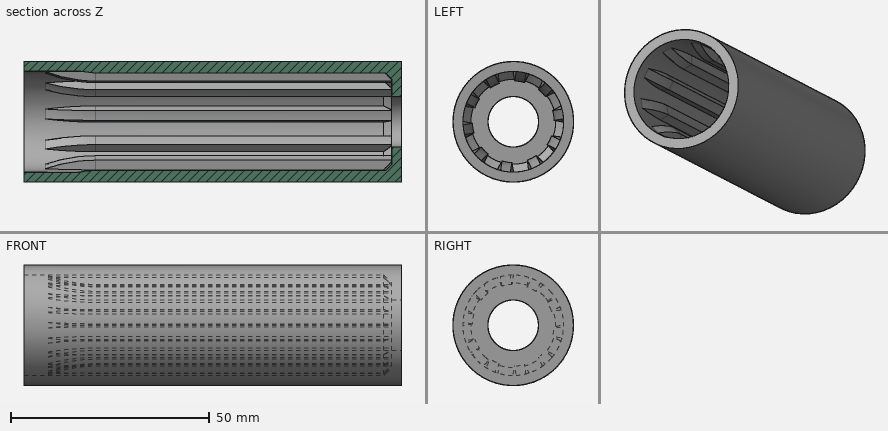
import cadquery as cq
import math

LENGTH = 95.26
OUTER_DIAMETER = 30.48
THROUGH_DIAMETER = 12.7

SOCKET_DIAMETER = 25.4
END_WALL = (OUTER_DIAMETER - SOCKET_DIAMETER) / 2
SOCKET_DEPTH = LENGTH - END_WALL
FLOOR_BEVEL = 2.0

RIB_COUNT = 10
FIRST_RIB_ANGLE = 9.0
RIB_START = 5.4
LEAD_IN_LENGTH = 12.7
RIB_CREST_RADIUS = 10.3
RIB_TOP_WIDTH = 2.54
RIB_FLANK_ANGLE = 20.0
FLANK_MARGIN = 0.5

RIB_HEIGHT = SOCKET_DIAMETER / 2 - RIB_CREST_RADIUS
LEAD_IN_END = RIB_START + LEAD_IN_LENGTH
LEAD_IN_RADIUS = (LEAD_IN_LENGTH**2 + RIB_HEIGHT**2) / (2 * RIB_HEIGHT)
LEAD_IN_ANGLE = math.degrees(math.asin(LEAD_IN_LENGTH / LEAD_IN_RADIUS))
LEAD_IN_AXIS_Y = RIB_CREST_RADIUS + LEAD_IN_RADIUS

FLANK_SWEEP = 1.25 * LEAD_IN_ANGLE
SPACE_SWEEP = 1.4 * LEAD_IN_ANGLE
RIB_END = SOCKET_DEPTH + END_WALL / 2


def tube_blank():
    return cq.Workplane("YZ").circle(OUTER_DIAMETER / 2).extrude(LENGTH)


def through_hole():
    return cq.Workplane("YZ").circle(THROUGH_DIAMETER / 2).extrude(LENGTH)


def plain_socket():
    socket = cq.Workplane("YZ").circle(SOCKET_DIAMETER / 2).extrude(SOCKET_DEPTH)
    return socket.faces(">X").chamfer(FLOOR_BEVEL)


def lead_in_point(angle):
    """Point (x, radius) on the lead-in arc, an angle in degrees before the arc's end."""
    turn = math.radians(angle)
    return (
        LEAD_IN_END - LEAD_IN_RADIUS * math.sin(turn),
        LEAD_IN_AXIS_Y - LEAD_IN_RADIUS * math.cos(turn),
    )


def rib_section():
    """Trapezoid across a rib on the +Y side, at the end of the lead-in."""
    lean = math.tan(math.radians(RIB_FLANK_ANGLE))
    inner_y = RIB_CREST_RADIUS - FLANK_MARGIN
    outer_y = OUTER_DIAMETER / 2
    inner_half = RIB_TOP_WIDTH / 2 - FLANK_MARGIN * lean
    outer_half = inner_half + (outer_y - inner_y) * lean
    corners = [
        (inner_y, -inner_half),
        (inner_y, inner_half),
        (outer_y, outer_half),
        (outer_y, -outer_half),
    ]
    return cq.Workplane("YZ", origin=(LEAD_IN_END, 0, 0)).polyline(corners).close()


def rib_flanks():
    """A rib on the +Y side with its full flanks, before the top is trimmed."""
    straight = rib_section().extrude(RIB_END - LEAD_IN_END)
    lead_in = rib_section().revolve(FLANK_SWEEP, (LEAD_IN_AXIS_Y, 0), (LEAD_IN_AXIS_Y, -1))
    return straight.union(lead_in)


def space_inside_ribs():
    """Round space bounded by the rib tops, which are concave about the tube axis."""
    arc_start = lead_in_point(SPACE_SWEEP)
    return (
        cq.Workplane("XY")
        .moveTo(arc_start[0], 0)
        .lineTo(*arc_start)
        .threePointArc(lead_in_point(SPACE_SWEEP / 2), (LEAD_IN_END, RIB_CREST_RADIUS))
        .lineTo(RIB_END, RIB_CREST_RADIUS)
        .lineTo(RIB_END, 0)
        .close()
        .revolve(360, (0, 0), (1, 0))
    )


def ribbed_socket():
    socket = plain_socket()
    rib = rib_flanks().cut(space_inside_ribs())
    for index in range(RIB_COUNT):
        angle = FIRST_RIB_ANGLE + index * 360 / RIB_COUNT
        socket = socket.cut(rib.rotate((0, 0, 0), (1, 0, 0), -angle))
    return socket


result = tube_blank().cut(through_hole()).cut(ribbed_socket())